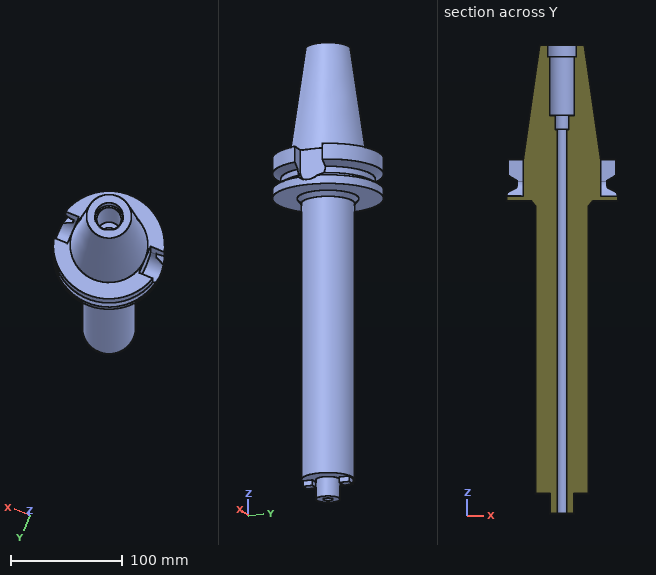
import cadquery as cq

taper_length = 102.5
taper_small_radius = 20.0
taper_gauge_radius = 35.0

flange_radius = 50.0
groove_radius = 42.5
upper_rim_height = 14.5
upper_flank_height = 4.5
groove_floor_height = 6.0
lower_flank_height = 4.0
lower_rim_height = 8.0

collar_radius = 27.5
collar_height = 4.5
body_radius = 24.0
body_bottom = -299.5
overall_length = 420.0
pilot_radius = 11.0

slot_width = 26.5
slot_depth = 32.7
slot_floor_distance = 35.0

key_width = 10.0
key_height = 5.0
key_inner = 13.0
key_outer = 22.2

mouth_radius = 12.5
mouth_depth = 10.5
thread_radius = 11.0
thread_depth = 63.0
seat_radius = 6.0
seat_depth = 75.5
through_radius = 4.0

tip_bottom = taper_length - overall_length
upper_rim_bottom = -upper_rim_height
groove_top = upper_rim_bottom - upper_flank_height
groove_bottom = groove_top - groove_floor_height
lower_rim_top = groove_bottom - lower_flank_height
flange_bottom = lower_rim_top - lower_rim_height
collar_bottom = flange_bottom - collar_height


def turned_body():
    """Taper, grooved flange, collar, arbor and pilot as one revolved profile."""
    profile = [
        (0, taper_length),
        (taper_small_radius, taper_length),
        (taper_gauge_radius, 0),
        (flange_radius, 0),
        (flange_radius, upper_rim_bottom),
        (groove_radius, groove_top),
        (groove_radius, groove_bottom),
        (flange_radius, lower_rim_top),
        (flange_radius, flange_bottom),
        (collar_radius, flange_bottom),
        (body_radius, collar_bottom),
        (body_radius, body_bottom),
        (pilot_radius, body_bottom),
        (pilot_radius, tip_bottom),
        (0, tip_bottom),
    ]
    return cq.Workplane("XZ").polyline(profile).close().revolve(360, (0, 0), (0, 1))


def drive_slot(side):
    """Round-bottomed slot cutter outside the slot floor; side is -1 or +1 along X."""
    half_width = slot_width / 2
    return (
        cq.Workplane("YZ", origin=(side * slot_floor_distance, 0, 0))
        .moveTo(-half_width, 0)
        .lineTo(-half_width, half_width - slot_depth)
        .threePointArc((0, -slot_depth), (half_width, half_width - slot_depth))
        .lineTo(half_width, 0)
        .close()
        .extrude(side * flange_radius)
    )


def drive_key(side):
    """Rectangular key below the body end face; side is -1 or +1 along Y."""
    center_y = side * (key_inner + key_outer) / 2
    return (
        cq.Workplane("XY", origin=(0, center_y, body_bottom))
        .rect(key_width, key_outer - key_inner)
        .extrude(-key_height)
    )


def bore_step(radius, depth):
    """Cylinder sunk from the taper end face."""
    return cq.Workplane("XY", origin=(0, 0, taper_length)).circle(radius).extrude(-depth)


result = turned_body()
for side in (-1, 1):
    result = result.cut(drive_slot(side)).union(drive_key(side))

for radius, depth in (
    (mouth_radius, mouth_depth),
    (thread_radius, thread_depth),
    (seat_radius, seat_depth),
    (through_radius, overall_length),
):
    result = result.cut(bore_step(radius, depth))